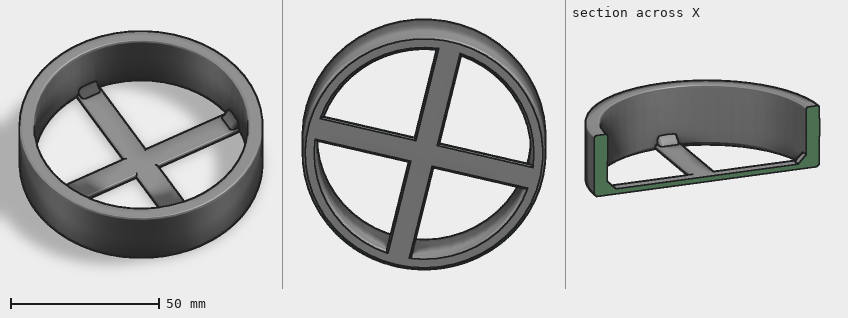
import cadquery as cq

arm_count = 4
arm_angle = 360 / arm_count

outer_radius = 41.0
bore_radius = 36.0
height = 22.0
rim_fillet = 1.0
base_chamfer = 1.0
base_fillet = 1.0

spoke_width = 8.6
spoke_thickness = 2.0
spoke_edge_fillet = 0.74
spoke_bottom_chamfer = 0.6
spoke_embed = 2.0

tab_width = spoke_width - 2 * spoke_edge_fillet
tab_length = 3.0
tab_height = 3.0
tab_edge_fillet = 1.0
tab_embed = 2.0


def make_ring():
    """Upright wall with rounded top edges and softened chamfers along its bottom edges."""
    ring = cq.Workplane("XY").circle(outer_radius).circle(bore_radius).extrude(height)
    ring = ring.faces(">Z").edges().fillet(rim_fillet)
    ring = ring.faces("<Z").edges().chamfer(base_chamfer)
    chamfer_tops = cq.selectors.BoxSelector(
        (-outer_radius, -outer_radius, base_chamfer / 2),
        (outer_radius, outer_radius, 2 * base_chamfer),
    )
    upper_edges = ring.edges("%CIRCLE").edges(chamfer_tops)
    return upper_edges.fillet(base_fillet)


def make_spoke():
    """Flat bar along X across the whole bore, with rounded upper and chamfered lower long edges."""
    length = 2 * (bore_radius + spoke_embed)
    bar = cq.Workplane("XY").rect(length, spoke_width).extrude(spoke_thickness)
    bar = bar.faces(">Z").edges("|X").fillet(spoke_edge_fillet)
    return bar.faces("<Z").edges("|X").chamfer(spoke_bottom_chamfer)


def make_tab():
    """Wedge on the +X spoke that rises outward into the wall, with rounded sloping edges."""
    toe = bore_radius - tab_length
    back = bore_radius + tab_embed
    back_height = tab_height * (back - toe) / tab_length
    wedge = (
        cq.Workplane("XZ")
        .moveTo(toe, spoke_thickness)
        .lineTo(back, spoke_thickness + back_height)
        .lineTo(back, spoke_thickness)
        .close()
        .extrude(tab_width / 2, both=True)
    )
    sloping_edges = wedge.edges("#Y").edges("not(|X or |Z)")
    return sloping_edges.fillet(tab_edge_fillet)


def around(shape, angle):
    """Copy of a shape turned about the ring axis."""
    return shape.rotate((0, 0, 0), (0, 0, 1), angle)


result = make_ring()
for spoke_index in range(arm_count // 2):
    result = result.union(around(make_spoke(), spoke_index * arm_angle))
for tab_index in range(arm_count):
    result = result.union(around(make_tab(), tab_index * arm_angle))